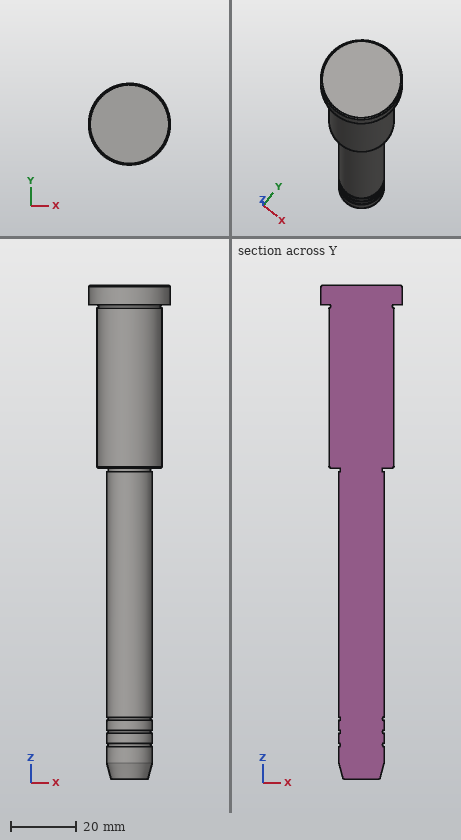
import cadquery as cq
import math

total_length = 151.0

head_diameter = 25.0
head_height = 6.0
head_chamfer = 0.5

sleeve_diameter = 20.0
sleeve_length = 50.0
sleeve_chamfer = 0.5

shank_diameter = 14.0
neck_diameter = 13.0
neck_length = 1.0

groove_radius = 0.5
first_groove_bottom = 10.0
groove_pitch = 4.0
groove_count = 3

tip_length = 5.0
tip_half_angle = 15.0
tip_edge_radius = 0.5

groove_width = 2 * groove_radius
head_bottom = total_length - head_height
sleeve_bottom = head_bottom - sleeve_length
neck_bottom = sleeve_bottom - neck_length
tip_end_radius = shank_diameter / 2 - tip_length * math.tan(math.radians(tip_half_angle))


def add_tip(profile):
    """Flat end, rounded edge and conical lead-in up to the shank."""
    slope = math.radians(90 - tip_half_angle)
    arc_center_x = tip_end_radius - tip_edge_radius * math.tan(slope / 2)

    def edge_point(angle):
        """Point of the rounded edge, with the angle measured from straight down."""
        x = arc_center_x + tip_edge_radius * math.sin(angle)
        y = tip_edge_radius * (1 - math.cos(angle))
        return x, y

    return (
        profile.lineTo(arc_center_x, 0)
        .threePointArc(edge_point(slope / 2), edge_point(slope))
        .lineTo(shank_diameter / 2, tip_length)
    )


def add_groove(profile, diameter, bottom):
    """Half-round groove, as two quarter arcs, in a cylinder of the given diameter."""
    surface = diameter / 2
    middle = bottom + groove_radius
    root = surface - groove_radius
    quarter_offset = groove_radius * math.sqrt(0.5)
    return (
        profile.lineTo(surface, bottom)
        .threePointArc((surface - quarter_offset, middle - quarter_offset), (root, middle))
        .threePointArc((surface - quarter_offset, middle + quarter_offset), (surface, bottom + groove_width))
    )


def add_shank(profile):
    """Slim lower body with evenly spaced grooves and a narrow neck under the sleeve."""
    for index in range(groove_count):
        profile = add_groove(profile, shank_diameter, first_groove_bottom + index * groove_pitch)
    return (
        profile.lineTo(shank_diameter / 2, neck_bottom)
        .lineTo(neck_diameter / 2, neck_bottom)
        .lineTo(neck_diameter / 2, sleeve_bottom)
    )


def add_sleeve(profile):
    """Thick upper body with a chamfered lower rim and a groove right under the head."""
    sleeve_radius = sleeve_diameter / 2
    profile = profile.lineTo(sleeve_radius - sleeve_chamfer, sleeve_bottom)
    profile = profile.lineTo(sleeve_radius, sleeve_bottom + sleeve_chamfer)
    return add_groove(profile, sleeve_diameter, head_bottom - groove_width)


def add_head(profile):
    """Flat head with a chamfered upper rim."""
    head_radius = head_diameter / 2
    return (
        profile.lineTo(head_radius, head_bottom)
        .lineTo(head_radius, total_length - head_chamfer)
        .lineTo(head_radius - head_chamfer, total_length)
        .lineTo(0, total_length)
    )


half_section = cq.Workplane("XZ").moveTo(0, 0)
half_section = add_tip(half_section)
half_section = add_shank(half_section)
half_section = add_sleeve(half_section)
half_section = add_head(half_section)
result = half_section.close().revolve(360, (0, 0, 0), (0, 1, 0), clean=False)